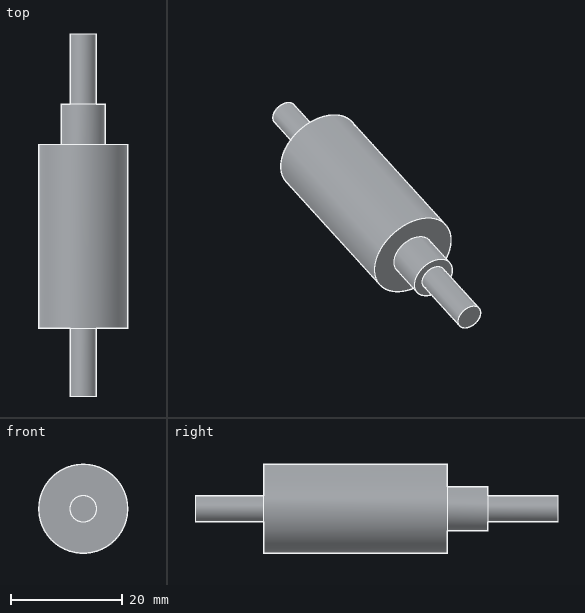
import cadquery as cq

total_length = 65.1

shaft_diameter = 4.75
collar_diameter = 7.95
body_diameter = 16.0

front_shaft_length = 12.25
body_length = 33.0
collar_length = 7.2

front_end = -total_length / 2
body_start = front_end + front_shaft_length
collar_start = body_start + body_length


def cylinder_along_y(diameter, start, length):
    """Solid cylinder on the Y axis, running from start toward +Y."""
    axis = cq.Vector(0, 1, 0)
    base = cq.Vector(0, start, 0)
    return cq.Workplane(cq.Solid.makeCylinder(diameter / 2, length, base, axis))


shaft = cylinder_along_y(shaft_diameter, front_end, total_length)
body = cylinder_along_y(body_diameter, body_start, body_length)
collar = cylinder_along_y(collar_diameter, collar_start, collar_length)

result = shaft.union(body).union(collar)